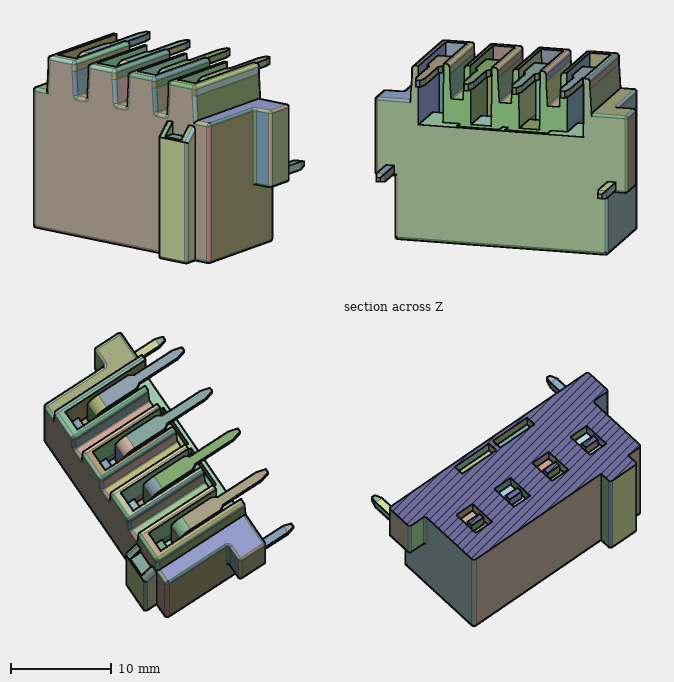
import cadquery as cq


body_width = 22.1
body_depth = 10.6
shoulder_z = 14.55
tower_top_z = 18.1
tower_straight_z = 17.08
tower_top_width = 3.45
tower_base_width = 3.77
pitch = 5.0
contact_count = 4
contact_xs = [(i - (contact_count - 1) / 2) * pitch for i in range(contact_count)]
towers_half_width = contact_xs[-1] + tower_base_width / 2

flange_span = 26.2
flange_depth = 3.2
flange_bottom_z = 6.55

housing_round = 0.35
flange_round = 0.25
gap_corner_round = 0.1

key_width = 3.6
key_depth = 1.4
key_top_z = 14.0
key_round = 0.3
key_notch_width = 2.02
key_notch_floor_z = 12.73

pocket_width = 2.1
pocket_mouth_width = 2.25
pocket_front_y = 1.0
ledge_back_y = 2.57
well_back_y = 5.5
rear_recess_depth = 1.52
recess_front_y = body_depth - rear_recess_depth
rear_floor_z = 12.05
well_floor_z = 9.95

slot_width = 4.45
slot_depth = 1.07
slot_open_depth = 0.42
slot_step_z = 9.95

contact_thickness = 0.68
contact_top_z = 17.65
blade_width = 1.6
pin_width = 0.95
pin_tip_width = 0.42
pin_tip_length = 1.0
pin_reach = 3.8
bend_front_y = 3.48
bend_radius = 1.25
blade_back_y = 8.33
pin_front_y = 8.85
contact_embed = 0.52
contact_root_z = well_floor_z - contact_embed

peg_size = 0.85
peg_tip_size = 0.42
peg_tip_length = 0.85
peg_reach = 4.2
peg_x = 11.5
peg_z = 7.23

tolerance = 0.003


def block(x_mid, width, y0, y1, z0, z1):
    """Box centred on x_mid, from y0 to y1 and from z0 to z1."""
    size_y = y1 - y0
    size_z = z1 - z0
    return cq.Workplane("XY").box(width, size_y, size_z, (True, False, False)).translate((x_mid, y0, z0))


def extrude_back(outline, y0, y1):
    """Extrude an X-Z outline from y0 to y1."""
    return cq.Workplane("XZ", origin=(0, y0, 0)).polyline(outline).close().extrude(y0 - y1)


def same(a, b):
    return abs(a - b) < tolerance


def runs_along_y(edge):
    start = edge.startPoint()
    end = edge.endPoint()
    return same(start.x, end.x) and same(start.z, end.z)


def is_gap_corner(edge):
    """Inner corner at the bottom of a gap between two towers."""
    mid = edge.Center()
    return runs_along_y(edge) and same(mid.z, shoulder_z) and abs(mid.x) < contact_xs[-1]


def is_housing_rim(edge):
    """Front outline, upper tower edges and bottom outline."""
    mid = edge.Center()
    on_tower_top = same(mid.z, tower_top_z) and runs_along_y(edge)
    return same(mid.y, 0) or on_tower_top or same(mid.z, 0)


def is_flange_or_back_edge(edge):
    """Flange outline, its inner corner with the housing, outer shoulder edges and lower back edges."""
    mid = edge.Center()
    side = abs(mid.x)
    half = body_width / 2
    beside_towers = side > towers_half_width + tolerance
    behind_rim = mid.y > housing_round + tolerance
    above_flange_bottom = mid.z > flange_bottom_z + tolerance
    on_flange = side > half + tolerance
    on_shoulder = same(mid.z, shoulder_z) and beside_towers and behind_rim
    on_inner_corner = same(mid.y, body_depth - flange_depth) and same(side, half) and above_flange_bottom
    on_back = same(mid.y, body_depth) and same(side, half) and mid.z < flange_bottom_z
    return on_flange or on_shoulder or on_inner_corner or on_back


def make_housing():
    half = body_width / 2
    outline = [(-half, 0), (-half, shoulder_z)]
    for x in contact_xs:
        outline += [
            (x - tower_base_width / 2, shoulder_z),
            (x - tower_top_width / 2, tower_straight_z),
            (x - tower_top_width / 2, tower_top_z),
            (x + tower_top_width / 2, tower_top_z),
            (x + tower_top_width / 2, tower_straight_z),
            (x + tower_base_width / 2, shoulder_z),
        ]
    outline += [(half, shoulder_z), (half, 0)]
    housing = extrude_back(outline, 0, body_depth)
    flange_front_y = body_depth - flange_depth
    housing = housing.union(block(0, flange_span, flange_front_y, body_depth, flange_bottom_z, shoulder_z))
    housing = housing.edges().filter(is_gap_corner).fillet(gap_corner_round)
    housing = housing.edges().filter(is_housing_rim).fillet(housing_round)
    return housing.edges().filter(is_flange_or_back_edge).fillet(flange_round)


def is_key_rim(edge):
    """Front side edges, ramp side edges and the front and side edges of the underside."""
    mid = edge.Center()
    on_side = not same(mid.x, contact_xs[-1])
    on_front = same(mid.y, -key_depth)
    on_ramp = on_side and mid.y < 0 and mid.z > key_top_z - key_depth
    on_underside = same(mid.z, 0) and mid.y < housing_round
    return on_ramp or on_underside or (on_front and on_side)


def make_key():
    """Front key with a 45 degree top ramp and a flat-bottomed notch in the ramp."""
    x_mid = contact_xs[-1]
    anchor_y = housing_round
    key = (
        cq.Workplane("YZ", origin=(x_mid - key_width / 2, 0, 0))
        .moveTo(anchor_y, 0)
        .lineTo(-key_depth, 0)
        .lineTo(-key_depth, key_top_z - key_depth)
        .lineTo(0, key_top_z)
        .lineTo(anchor_y, key_top_z)
        .close()
        .extrude(key_width)
    )
    key = key.edges().filter(is_key_rim).fillet(key_round)
    notch = block(x_mid, key_notch_width, -key_depth, 0, key_notch_floor_z, key_top_z)
    return key.cut(notch)


def make_pocket(x_mid):
    """Pocket with drafted side walls; the outermost walls of the row stay upright."""
    left_mouth = right_mouth = pocket_mouth_width / 2
    if x_mid == contact_xs[0]:
        left_mouth = pocket_width / 2
    if x_mid == contact_xs[-1]:
        right_mouth = pocket_width / 2
    outline = [
        (x_mid - pocket_width / 2, rear_floor_z),
        (x_mid - left_mouth, tower_top_z),
        (x_mid + right_mouth, tower_top_z),
        (x_mid + pocket_width / 2, rear_floor_z),
    ]
    pocket = extrude_back(outline, pocket_front_y, recess_front_y)
    well = block(x_mid, pocket_width, ledge_back_y, well_back_y, well_floor_z, rear_floor_z)
    return pocket.union(well)


def make_rear_recess():
    recess_width = contact_xs[-1] - contact_xs[0] + pocket_width
    recess = block(0, recess_width, recess_front_y, body_depth, rear_floor_z, tower_top_z)
    for x in (-pitch / 2, pitch / 2):
        back_y = recess_front_y + slot_depth
        open_back_y = recess_front_y + slot_open_depth
        recess = recess.union(block(x, slot_width, recess_front_y, back_y, slot_step_z, rear_floor_z))
        recess = recess.union(block(x, slot_width, recess_front_y, open_back_y, 0, slot_step_z))
    return recess


def make_contact(x_mid):
    """Flat blade that narrows to a pin at the rear and bends down into the well at the front."""
    bend_back_y = bend_front_y + bend_radius
    bottom_z = contact_top_z - contact_thickness
    tip_y = body_depth + pin_reach
    plan = [
        (blade_width / 2, bend_back_y),
        (blade_width / 2, blade_back_y),
        (pin_width / 2, pin_front_y),
        (pin_width / 2, tip_y - pin_tip_length),
        (pin_tip_width / 2, tip_y),
    ]
    plan += [(-x, y) for x, y in reversed(plan)]
    blade = cq.Workplane("XY", origin=(x_mid, 0, bottom_z)).polyline(plan).close().extrude(contact_thickness)
    bend_z = contact_top_z - bend_radius
    inner_radius = bend_radius - contact_thickness
    leg = (
        cq.Workplane("YZ", origin=(x_mid - blade_width / 2, 0, 0))
        .moveTo(bend_back_y, contact_top_z)
        .radiusArc((bend_front_y, bend_z), -bend_radius)
        .lineTo(bend_front_y, contact_root_z)
        .lineTo(bend_front_y + contact_thickness, contact_root_z)
        .lineTo(bend_front_y + contact_thickness, bend_z)
        .radiusArc((bend_back_y, bottom_z), inner_radius)
        .close()
        .extrude(blade_width)
    )
    return blade.union(leg)


def make_peg(x_mid):
    """Square locating peg with a tapered tip."""
    shank_length = peg_reach - peg_tip_length
    root = cq.Workplane("XZ", origin=(x_mid, body_depth, peg_z))
    shank = root.rect(peg_size, peg_size).extrude(-shank_length)
    tip = (
        root.workplane(offset=-shank_length)
        .rect(peg_size, peg_size)
        .workplane(offset=-peg_tip_length)
        .rect(peg_tip_size, peg_tip_size)
        .loft()
    )
    return shank.union(tip)


result = make_housing().union(make_key()).cut(make_rear_recess())
for contact_x in contact_xs:
    result = result.cut(make_pocket(contact_x)).union(make_contact(contact_x))
for peg_side in (-1, 1):
    result = result.union(make_peg(peg_side * peg_x))